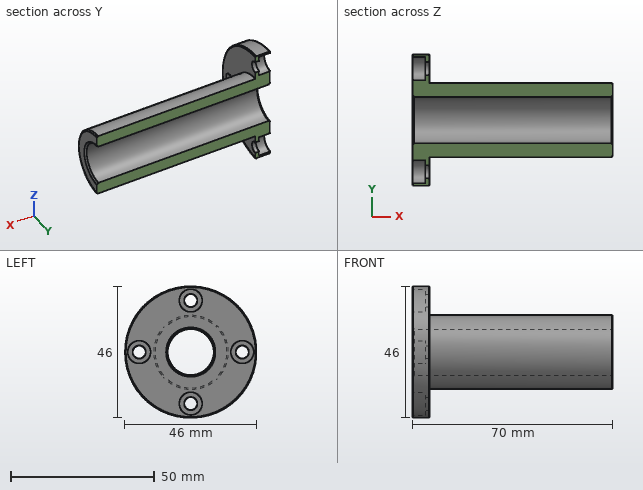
import cadquery as cq

total_length = 70.0
flange_diameter = 46.0
flange_thickness = 6.0
body_diameter = 26.0
bore_diameter = 16.0

flange_chamfer = 0.35
body_chamfer = 0.5
bore_chamfer = 0.6

hole_count = 4
hole_circle_diameter = 36.0
hole_diameter = 4.5
counterbore_diameter = 8.0
counterbore_depth = 4.4


def cylinder(diameter, length):
    """Cylinder along +X starting at the flange face."""
    return cq.Workplane("YZ").circle(diameter / 2).extrude(length)


def flanged_body():
    flange = cylinder(flange_diameter, flange_thickness).edges().chamfer(flange_chamfer)
    body = cylinder(body_diameter, total_length).faces(">X").edges().chamfer(body_chamfer)
    return flange.union(body)


def bore():
    """Through bore with a chamfered mouth at each end."""
    mouth_radius = bore_diameter / 2 + bore_chamfer
    bore_radius = bore_diameter / 2
    profile = [
        (0, 0),
        (0, mouth_radius),
        (bore_chamfer, bore_radius),
        (total_length - bore_chamfer, bore_radius),
        (total_length, mouth_radius),
        (total_length, 0),
    ]
    return cq.Workplane("XY").polyline(profile).close().revolve(360, (0, 0, 0), (1, 0, 0))


def mounting_holes():
    """Counterbored holes equally spaced around the flange."""
    hole = cylinder(hole_diameter, flange_thickness)
    counterbore = cylinder(counterbore_diameter, counterbore_depth)
    cutter = hole.union(counterbore).translate((0, hole_circle_diameter / 2, 0))
    holes = cq.Workplane("YZ")
    for index in range(hole_count):
        angle = index * 360 / hole_count
        holes = holes.add(cutter.rotate((0, 0, 0), (1, 0, 0), angle))
    return holes.combine()


result = flanged_body().cut(bore()).cut(mounting_holes())